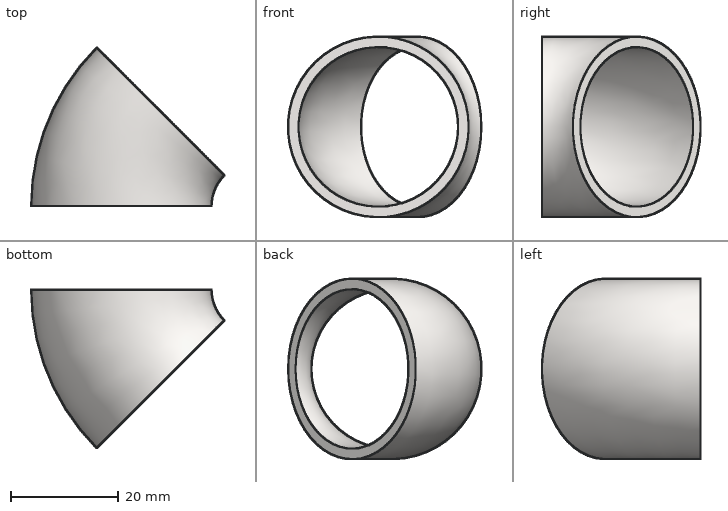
import cadquery as cq
import math

overall_length = 36.1
bend_angle = 45.0
bend_radius = 25.0
wall = 2.0

bend_cosine = math.cos(math.radians(bend_angle))
outer_radius = (overall_length - bend_radius * (1 - bend_cosine)) / (1 + bend_cosine)
inner_radius = outer_radius - wall

tube_section = cq.Workplane("XZ").circle(outer_radius).circle(inner_radius)
result = tube_section.revolve(bend_angle, (bend_radius, 0), (bend_radius, -1))